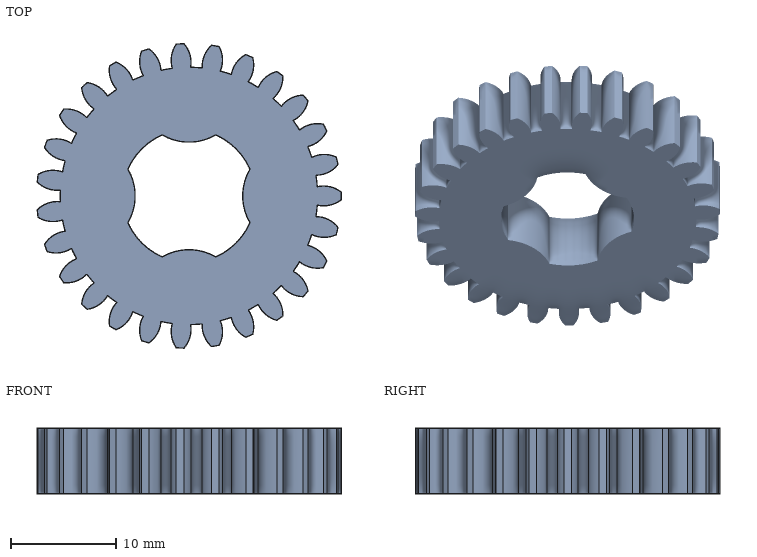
import cadquery as cq
import math

module = 1.0
tooth_count = 27
face_width = 6.25
pitch_radius = module * tooth_count / 2
tip_radius = pitch_radius + module
dedendum_factor = 1.25
root_radius = pitch_radius - dedendum_factor * module
tooth_pitch_angle = 360 / tooth_count

root_half_angle = 4.15
tip_half_angle = 1.45
flank_radius = 2.7

bore_radius = 6.33
lobe_count = 4
lobe_radius = 5.0
lobe_reach_radius = 5.1
lobe_center_radius = lobe_reach_radius + lobe_radius


def polar(radius, angle):
    """Point at a given radius and angle (degrees) about the gear axis."""
    return radius * math.cos(math.radians(angle)), radius * math.sin(math.radians(angle))


def flank_midpoint():
    """Middle of the upper flank of the tooth on +X, bulging away from the tooth centre."""
    root_x, root_y = polar(root_radius, root_half_angle)
    tip_x, tip_y = polar(tip_radius, tip_half_angle)
    chord = math.hypot(tip_x - root_x, tip_y - root_y)
    sagitta = flank_radius - math.sqrt(flank_radius**2 - (chord / 2) ** 2)
    mid_x = (root_x + tip_x) / 2 + sagitta * (root_y - tip_y) / chord
    mid_y = (root_y + tip_y) / 2 + sagitta * (tip_x - root_x) / chord
    return mid_x, mid_y


def gear_blank():
    """Toothed disc with one tooth centred on +X."""
    mid_x, mid_y = flank_midpoint()
    mid_radius = math.hypot(mid_x, mid_y)
    mid_half_angle = math.degrees(math.atan2(mid_y, mid_x))

    outline = cq.Workplane("XY").moveTo(*polar(root_radius, -root_half_angle))
    for index in range(tooth_count):
        angle = index * tooth_pitch_angle
        next_angle = angle + tooth_pitch_angle
        outline = outline.threePointArc(
            polar(mid_radius, angle - mid_half_angle),
            polar(tip_radius, angle - tip_half_angle),
        )
        outline = outline.threePointArc(
            polar(tip_radius, angle),
            polar(tip_radius, angle + tip_half_angle),
        )
        outline = outline.threePointArc(
            polar(mid_radius, angle + mid_half_angle),
            polar(root_radius, angle + root_half_angle),
        )
        outline = outline.threePointArc(
            polar(root_radius, angle + tooth_pitch_angle / 2),
            polar(root_radius, next_angle - root_half_angle),
        )
    return outline.close().extrude(face_width)


def lobed_bore():
    """Volume removed by the bore: a cylinder less the four lobes."""
    bore = cq.Workplane("XY").circle(bore_radius).extrude(face_width)
    lobes = (
        cq.Workplane("XY")
        .polarArray(lobe_center_radius, 0, 360, lobe_count)
        .circle(lobe_radius)
        .extrude(face_width)
    )
    return bore.cut(lobes)


result = gear_blank().cut(lobed_bore())